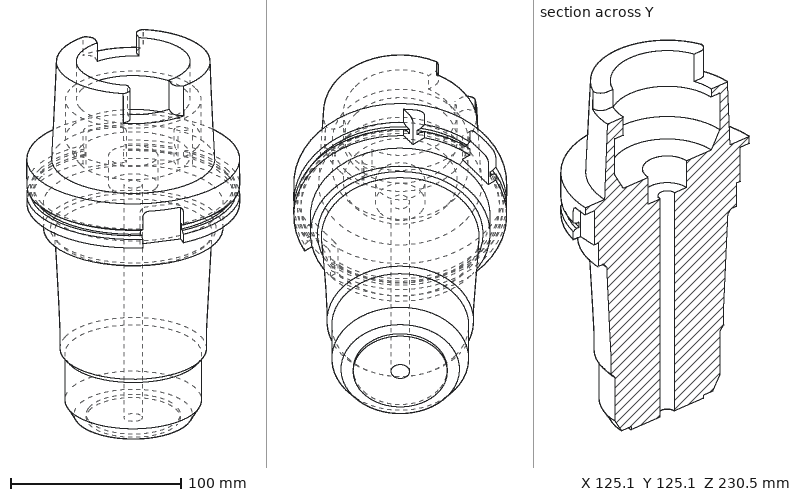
import cadquery as cq

LENGTH = 230.5
FLANGE_R = 62.55

LIP_TOP = 2.0
NOSE_TOP = 11.3
STEP_BOTTOM = 41.2
STEP_TOP = 44.7
TAPER_BOTTOM = 56.7
TAPER_TOP = 119.8
COLLAR_BOTTOM = 122.5
FLANGE_BOTTOM = 138.7
FLANGE_TOP = 167.3

LIP_R = 27.6
NOSE_R = 34.8
SLEEVE_R = 40.2
BODY_R = 43.0
BODY_TOP_R = 46.3
RELIEF_R = 48.5
COLLAR_R = 52.8
SHANK_BASE_R = 48.0
SHANK_TOP_R = 45.2

GROOVE_R = 58.3
GROOVE_BEVEL_R = 60.4
GROOVE_BOTTOM = 145.5
GROOVE_TOP = 149.0
GROOVE_BEVEL = 1.4

BORE_R = 33.5
BORE_DEPTH = 24.7
CHAMBER_R = 39.9
CHAMBER_DEPTH = 61.0
CHAMBER_BEVEL = 11.5
COOLANT_BORE_R = 14.5
COOLANT_BORE_DEPTH = 18.5
COOLANT_HOLE_R = 5.41

SLOT_HALF = 12.7
SLOT_CORNER_R = 5.8
LUG_REACH = 41.2
LEFT_SLOT_DEPTH = 12.0
RIGHT_SLOT_DEPTH = 19.0

POCKET_WIDTH = 24.9
POCKET_FLOOR = 55.8
POCKET_TOP = 162.2
POCKET_CORNER_R = 3.7
NOTCH_FLOOR = 39.9
NOTCH_EDGE = 39.5

CLEAR = 23.0


def turned_body():
    outline = [
        (0, 0),
        (LIP_R, 0),
        (LIP_R, LIP_TOP),
        (NOSE_R, LIP_TOP),
        (SLEEVE_R, NOSE_TOP),
        (SLEEVE_R, STEP_BOTTOM),
        (BODY_R, STEP_TOP),
        (BODY_R, TAPER_BOTTOM),
        (BODY_TOP_R, TAPER_TOP),
        (RELIEF_R, COLLAR_BOTTOM),
        (COLLAR_R, COLLAR_BOTTOM),
        (COLLAR_R, FLANGE_BOTTOM),
        (FLANGE_R, FLANGE_BOTTOM),
        (FLANGE_R, GROOVE_BOTTOM - GROOVE_BEVEL),
        (GROOVE_BEVEL_R, GROOVE_BOTTOM),
        (GROOVE_R, GROOVE_BOTTOM),
        (GROOVE_R, GROOVE_TOP),
        (GROOVE_BEVEL_R, GROOVE_TOP),
        (FLANGE_R, GROOVE_TOP + GROOVE_BEVEL),
        (FLANGE_R, FLANGE_TOP),
        (SHANK_BASE_R, FLANGE_TOP),
        (SHANK_TOP_R, LENGTH),
        (0, LENGTH),
    ]
    return cq.Workplane("XZ").polyline(outline).close().revolve(360, (0, 0), (0, 1))


def inner_cavity():
    """Stepped bore entered from the shank end, wider inside than at its mouth."""
    chamber_floor = LENGTH - CHAMBER_DEPTH

    def cylinder(radius, bottom, top):
        return cq.Workplane("XY").workplane(offset=bottom).circle(radius).extrude(top - bottom)

    chamber = cylinder(CHAMBER_R, chamber_floor, LENGTH - BORE_DEPTH)
    chamber = chamber.faces("<Z").chamfer(CHAMBER_BEVEL, CHAMBER_R - BORE_R)
    return (
        cylinder(COOLANT_HOLE_R, 0, LENGTH)
        .union(cylinder(COOLANT_BORE_R, chamber_floor - COOLANT_BORE_DEPTH, LENGTH))
        .union(chamber)
        .union(cylinder(BORE_R, LENGTH - BORE_DEPTH, LENGTH))
    )


def drive_slot(side, depth):
    """Slot through the shank wall, flared outward by rounded lug corners."""
    straight_end = side * (LUG_REACH - SLOT_CORNER_R)
    lug_end = side * LUG_REACH
    outside = side * (LUG_REACH + CLEAR)
    flare_half = SLOT_HALF + SLOT_CORNER_R
    arc_half = flare_half - SLOT_CORNER_R / 2**0.5
    arc_x = straight_end + side * SLOT_CORNER_R / 2**0.5
    return (
        cq.Workplane("XY")
        .workplane(offset=LENGTH - depth)
        .moveTo(0, -SLOT_HALF)
        .lineTo(straight_end, -SLOT_HALF)
        .threePointArc((arc_x, -arc_half), (lug_end, -flare_half))
        .lineTo(outside, -flare_half)
        .lineTo(outside, flare_half)
        .lineTo(lug_end, flare_half)
        .threePointArc((arc_x, arc_half), (straight_end, SLOT_HALF))
        .lineTo(0, SLOT_HALF)
        .close()
        .extrude(depth)
    )


def rim_pocket(side, floor, y_min, y_max):
    """Flat-floored pocket milled along X, open at the underside of the flange."""
    length = FLANGE_R + CLEAR - floor
    height = POCKET_TOP - FLANGE_BOTTOM
    return (
        cq.Workplane("XY")
        .box(length, y_max - y_min, height)
        .edges("|X and >Z")
        .fillet(POCKET_CORNER_R)
        .translate((side * (floor + length / 2), (y_min + y_max) / 2, FLANGE_BOTTOM + height / 2))
    )


result = turned_body().cut(inner_cavity())
result = result.cut(drive_slot(-1, LEFT_SLOT_DEPTH))
result = result.cut(drive_slot(1, RIGHT_SLOT_DEPTH))
for pocket_side in (-1, 1):
    result = result.cut(rim_pocket(pocket_side, POCKET_FLOOR, -POCKET_WIDTH / 2, POCKET_WIDTH / 2))
result = result.cut(rim_pocket(-1, NOTCH_FLOOR, NOTCH_EDGE, FLANGE_R + CLEAR))